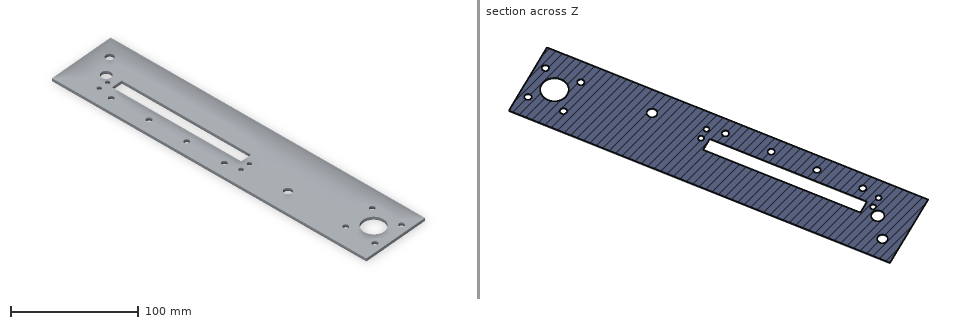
import cadquery as cq

length = 334.2
width = 68.5
thickness = 3.0

bore_diameter = 22.0
bore_center = (311.0, width / 2)
bore_screw_spacing = 31.0

slot_length = 137.5
slot_width = 11.5
slot_center = (111.3, 29.0)
pin_diameter = 4.5
pin_spacing_x = 150.7
pin_spacing_y = 9.7
pin_center_y = 20.7

screw_diameter = 5.5
row_count = 4
row_pitch = 40.0
row_y = 13.0

mount_diameter = 8.0
mount_centers = [(15.7, 50.0), (232.0, pin_center_y)]
pivot_diameter = 10.0
pivot_center = (28.7, 31.8)


def rectangle_corners(center, size_x, size_y):
    """Corner points of a rectangle around center."""
    x, y = center
    return [(x + i * size_x / 2, y + j * size_y / 2) for i in (-1, 1) for j in (-1, 1)]


def drill(body, diameter, centers):
    """Cut round through holes at the given centers."""
    cutter = cq.Workplane("XY").pushPoints(centers).circle(diameter / 2).extrude(thickness)
    return body.cut(cutter)


bore_screws = rectangle_corners(bore_center, bore_screw_spacing, bore_screw_spacing)
pins = rectangle_corners((slot_center[0], pin_center_y), pin_spacing_x, pin_spacing_y)
row_start_x = slot_center[0] - row_pitch * (row_count - 1) / 2
row_screws = [(row_start_x + i * row_pitch, row_y) for i in range(row_count)]

result = cq.Workplane("XY").box(length, width, thickness, centered=False)

slot = cq.Workplane("XY").center(*slot_center).rect(slot_length, slot_width).extrude(thickness)
result = result.cut(slot)

result = drill(result, bore_diameter, [bore_center])
result = drill(result, screw_diameter, bore_screws + row_screws)
result = drill(result, pin_diameter, pins)
result = drill(result, mount_diameter, mount_centers)
result = drill(result, pivot_diameter, [pivot_center])